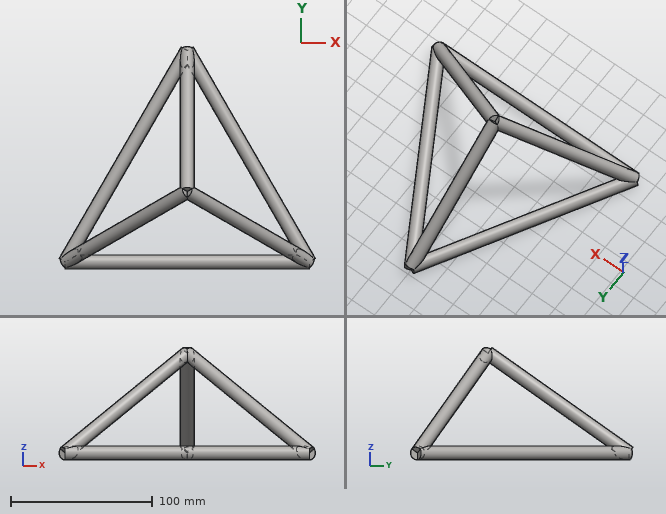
import cadquery as cq
import math

overall_width = 181.8
rod_diameter = 10.0
base_rod_tilt = 30

rod_radius = rod_diameter / 2
base_side = overall_width - rod_diameter * math.cos(math.radians(base_rod_tilt))
base_circumradius = base_side / math.sqrt(3)
apex_height = base_circumradius / math.sqrt(2)

apex = cq.Vector(0, 0, apex_height)
base_corners = [
    cq.Vector(
        base_circumradius * math.cos(math.radians(angle)),
        base_circumradius * math.sin(math.radians(angle)),
        0,
    )
    for angle in (90, 210, 330)
]


def rod(start, end):
    """Flat-ended round rod running from one node to another."""
    axis = end - start
    return cq.Workplane().add(cq.Solid.makeCylinder(rod_radius, axis.Length, start, axis))


base_rods = []
upper_rods = []
for index, corner in enumerate(base_corners):
    next_corner = base_corners[(index + 1) % len(base_corners)]
    base_rods.append(rod(corner, next_corner))
    upper_rods.append(rod(corner, apex))

rods = base_rods + upper_rods
result = rods[0]
for next_rod in rods[1:]:
    result = result.union(next_rod)